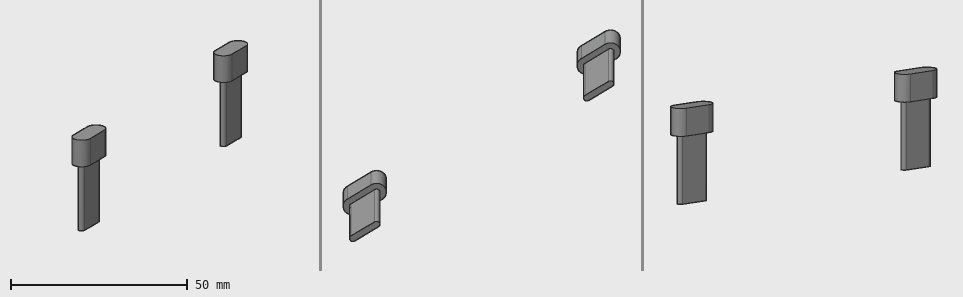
import cadquery as cq

overall_span = 93.4
overall_height = 28.0
flat_length = 8.0
head_thickness = 5.6
head_height = 8.0
blade_thickness = 2.0

head_length = flat_length + head_thickness
blade_length = flat_length + blade_thickness
blade_height = overall_height - head_height
key_offset = (overall_span - head_length) / 2


def rounded_bar(length, thickness, height, bottom):
    """Upright bar with full-round ends, its long side along Y."""
    return (
        cq.Workplane("XY")
        .workplane(offset=bottom)
        .slot2D(length, thickness, angle=90)
        .extrude(height)
    )


def make_key(y_center):
    """One key: a thin blade with a thicker head on top, as a single solid."""
    blade = rounded_bar(blade_length, blade_thickness, blade_height, 0)
    head = rounded_bar(head_length, head_thickness, head_height, blade_height)
    return blade.union(head).translate((0, y_center, 0))


keys = [make_key(side * key_offset) for side in (-1, 1)]

result = cq.Compound.makeCompound([key.solids().val() for key in keys])